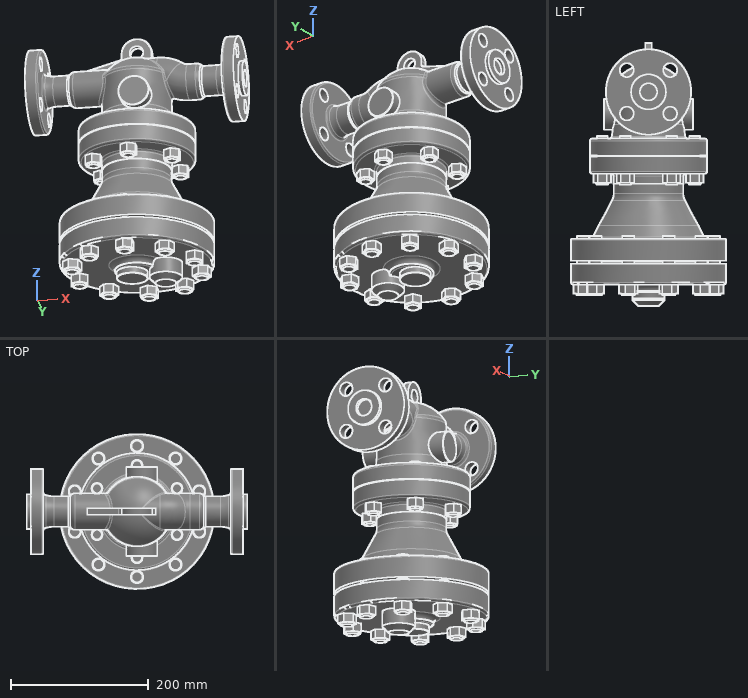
import cadquery as cq
import math


OVERALL_LENGTH = 320
RAISED_FACE_DIA = 50.8
RAISED_FACE_HEIGHT = 6
PIPE_FLANGE_DIA = 124
PIPE_FLANGE_THICKNESS = 18.3
PIPE_FLANGE_ROUND = 2.5
PIPE_FLANGE_BOLT_CIRCLE = 88.9
PIPE_FLANGE_HOLE_DIA = 20
PIPE_FLANGE_HOLE_COUNT = 4
BORE_DIA = 25
BORE_DEPTH = 6
HUB_DIA = 48
HUB_FILLET = 3.6
HUB_LENGTH = 11.5
THIN_PIPE_DIA = 44.4
THICK_PIPE_DIA = 53
SHOULDER_START = 99.5
SHOULDER_END = 90.5
SHOULDER_MIDDLE = 96.5
SHOULDER_MIDDLE_DIA = 47

BEND_OUTER_X = 76.5
BEND_INNER_X = 33
BEND_RISE = 13.4
BEND_END_X = 5
INLET_BLEND = 5
OUTLET_BLEND = 3

DOME_TOP = 40.1
DOME_RADIUS = 57.5
DOME_BASE_DIA = 100.95
DOME_EDGE_ROUND = 10
BODY_DIA = 102
BODY_BASE_DIA = 107
FLARE_TOP = -47
BODY_BASE_BLEND = 3

UPPER_FLANGE_DIA = 170
UPPER_FLANGE_TOP = -67.6
UPPER_JOINT = -93
UPPER_FLANGE_BOTTOM = -119
UPPER_FLANGE_ROUND = 3.5
UPPER_JOINT_GAP = 1
UPPER_JOINT_DIA = 124

NECK_COLLAR_BOTTOM = -133.4
NECK_BOTTOM = -147
NECK_BEND_RADIUS = 21
CONE_ANGLE = 28
CONE_BREAK_Z = -193.5
CONE_BASE_DIA = 161.5
CONE_BASE_BLEND = 5

LOWER_FLANGE_DIA = 225
LOWER_FLANGE_TOP = -212.8
LOWER_JOINT_TOP = -245
LOWER_JOINT_BOTTOM = -249
LOWER_FLANGE_BOTTOM = -279.7
LOWER_FLANGE_TOP_ROUND = 2
LOWER_FLANGE_BOTTOM_ROUND = 3.5
SPIGOT_DIA = 160
GASKET_DIA = 158
GASKET_TOP = -246.5

UPPER_BOLT_COUNT = 6
UPPER_BOLT_CIRCLE = 134
UPPER_BOLT_DIA = 16
UPPER_NUT_WIDTH = 22.2
UPPER_NUT_HEIGHT = 13
UPPER_STUD_TIP = 2.5
LOWER_BOLT_COUNT = 10
LOWER_BOLT_CIRCLE = 190
LOWER_BOLT_DIA = 18
LOWER_NUT_WIDTH = 24
LOWER_NUT_HEIGHT = 12.8
LOWER_STUD_TIP = 2.8
BOLT_RISE = 4
BOLT_CHAMFER = 1

PLUG_DIA = 45
PLUG_CHAMFER = 0.5
PLUG_OFFSET_X = 7
PLUG_Z = -32.5
PLUG_SPAN_Y = 130

LUG_RADIUS = 22
LUG_HOLE_DIA = 20
LUG_Z = 49
LUG_HOLE_Z = 49.8
LUG_THICKNESS = 10
LUG_FOOT_RADIUS = 5
RIB_START_X = -72
RIB_DROP = 1

BOSS_DIA = 64.5
BOSS_HEIGHT = 11
BOSS_FILLET = 9
BOSS_ROUND = 2.5
BOTTOM_PLUG_Z = -300
DRAIN_DIA = 47.5
DRAIN_X = 42.7
DRAIN_CHAMFER = 8.7
DRAIN_BOTTOM = -310.8


def cylinder(diameter, bottom, top, x=0):
    """Upright cylinder between two heights, its axis at x on the X axis."""
    return cq.Workplane("XY", origin=(x, 0, bottom)).circle(diameter / 2).extrude(top - bottom)


def upper_body():
    """Domed body with its upper flange, turned around Z."""
    base_r = DOME_BASE_DIA / 2
    dome_z = DOME_TOP - DOME_RADIUS
    round_r = base_r - DOME_EDGE_ROUND
    inner_reach = DOME_RADIUS - DOME_EDGE_ROUND
    rise = math.sqrt(inner_reach**2 - round_r**2)
    round_z = dome_z + rise
    edge_angle = math.atan2(rise, round_r)
    dome_mid = (edge_angle + math.pi / 2) / 2
    round_mid = edge_angle / 2

    def on_dome(angle):
        return (DOME_RADIUS * math.cos(angle), dome_z + DOME_RADIUS * math.sin(angle))

    def on_round(angle):
        return (round_r + DOME_EDGE_ROUND * math.cos(angle), round_z + DOME_EDGE_ROUND * math.sin(angle))

    blend_start = UPPER_FLANGE_TOP + BODY_BASE_BLEND
    blend_end_r = BODY_BASE_DIA / 2 + BODY_BASE_BLEND
    flange_r = UPPER_FLANGE_DIA / 2
    profile = (
        cq.Workplane("XZ")
        .moveTo(0, DOME_TOP)
        .threePointArc(on_dome(dome_mid), on_dome(edge_angle))
        .threePointArc(on_round(round_mid), (base_r, round_z))
        .lineTo(BODY_DIA / 2, FLARE_TOP)
        .lineTo(BODY_BASE_DIA / 2, blend_start)
        .radiusArc((blend_end_r, UPPER_FLANGE_TOP), -BODY_BASE_BLEND)
        .lineTo(flange_r - UPPER_FLANGE_ROUND, UPPER_FLANGE_TOP)
        .radiusArc((flange_r, UPPER_FLANGE_TOP - UPPER_FLANGE_ROUND), UPPER_FLANGE_ROUND)
        .lineTo(flange_r, UPPER_JOINT + UPPER_JOINT_GAP / 2)
        .lineTo(UPPER_JOINT_DIA / 2, UPPER_JOINT + UPPER_JOINT_GAP / 2)
        .lineTo(UPPER_JOINT_DIA / 2, UPPER_JOINT)
        .lineTo(0, UPPER_JOINT)
        .close()
    )
    return profile.revolve(360, (0, 0, 0), (0, 1, 0))


def lower_body():
    """Neck flange, neck, cone and the lower flange pair, turned around Z."""
    upper_r = UPPER_FLANGE_DIA / 2
    lower_r = LOWER_FLANGE_DIA / 2
    spigot_r = SPIGOT_DIA / 2
    neck_r = DOME_BASE_DIA / 2
    slope = math.radians(CONE_ANGLE)
    cone_top_r = neck_r + NECK_BEND_RADIUS * (1 - math.cos(slope))
    cone_top_z = NECK_BOTTOM - NECK_BEND_RADIUS * math.sin(slope)
    cone_break_r = cone_top_r + (cone_top_z - CONE_BREAK_Z) * math.tan(slope)
    cone_base_r = CONE_BASE_DIA / 2
    cone_base_z = LOWER_FLANGE_TOP + CONE_BASE_BLEND / 2
    profile = (
        cq.Workplane("XZ")
        .moveTo(0, UPPER_JOINT)
        .lineTo(UPPER_JOINT_DIA / 2, UPPER_JOINT)
        .lineTo(UPPER_JOINT_DIA / 2, UPPER_JOINT - UPPER_JOINT_GAP / 2)
        .lineTo(upper_r, UPPER_JOINT - UPPER_JOINT_GAP / 2)
        .lineTo(upper_r, UPPER_FLANGE_BOTTOM + UPPER_FLANGE_ROUND)
        .radiusArc((upper_r - UPPER_FLANGE_ROUND, UPPER_FLANGE_BOTTOM), UPPER_FLANGE_ROUND)
        .lineTo(BODY_DIA / 2 + BODY_BASE_BLEND, UPPER_FLANGE_BOTTOM)
        .radiusArc((BODY_DIA / 2, UPPER_FLANGE_BOTTOM - BODY_BASE_BLEND), -BODY_BASE_BLEND)
        .lineTo(BODY_DIA / 2, NECK_COLLAR_BOTTOM)
        .lineTo(neck_r, NECK_COLLAR_BOTTOM)
        .lineTo(neck_r, NECK_BOTTOM)
        .radiusArc((cone_top_r, cone_top_z), -NECK_BEND_RADIUS)
        .lineTo(cone_break_r, CONE_BREAK_Z)
        .tangentArcPoint((cone_base_r, cone_base_z), relative=False)
        .radiusArc((cone_base_r + CONE_BASE_BLEND, LOWER_FLANGE_TOP), -CONE_BASE_BLEND)
        .lineTo(lower_r - LOWER_FLANGE_TOP_ROUND, LOWER_FLANGE_TOP)
        .radiusArc((lower_r, LOWER_FLANGE_TOP - LOWER_FLANGE_TOP_ROUND), LOWER_FLANGE_TOP_ROUND)
        .lineTo(lower_r, LOWER_JOINT_TOP)
        .lineTo(spigot_r, LOWER_JOINT_TOP)
        .lineTo(spigot_r, GASKET_TOP)
        .lineTo(GASKET_DIA / 2, GASKET_TOP)
        .lineTo(GASKET_DIA / 2, LOWER_JOINT_BOTTOM)
        .lineTo(lower_r, LOWER_JOINT_BOTTOM)
        .lineTo(lower_r, LOWER_FLANGE_BOTTOM + LOWER_FLANGE_BOTTOM_ROUND)
        .radiusArc((lower_r - LOWER_FLANGE_BOTTOM_ROUND, LOWER_FLANGE_BOTTOM), LOWER_FLANGE_BOTTOM_ROUND)
        .lineTo(0, LOWER_FLANGE_BOTTOM)
        .close()
    )
    return profile.revolve(360, (0, 0, 0), (0, 1, 0))


def pipe_end(inner_x):
    """Flanged pipe on the -X side, from its sealing face in to inner_x, turned around X."""
    face_x = -OVERALL_LENGTH / 2
    flange_front = face_x + RAISED_FACE_HEIGHT
    flange_back = flange_front + PIPE_FLANGE_THICKNESS
    flange_r = PIPE_FLANGE_DIA / 2
    thin_r = THIN_PIPE_DIA / 2
    hub_step = (HUB_DIA - THIN_PIPE_DIA) / 2
    hub_radius = (HUB_LENGTH**2 + hub_step**2) / (2 * hub_step)
    pipe = (
        cq.Workplane("XZ")
        .moveTo(face_x + BORE_DEPTH, 0)
        .lineTo(face_x + BORE_DEPTH, BORE_DIA / 2)
        .lineTo(face_x, BORE_DIA / 2)
        .lineTo(face_x, RAISED_FACE_DIA / 2)
        .lineTo(flange_front, RAISED_FACE_DIA / 2)
        .lineTo(flange_front, flange_r)
        .lineTo(flange_back - PIPE_FLANGE_ROUND, flange_r)
        .radiusArc((flange_back, flange_r - PIPE_FLANGE_ROUND), PIPE_FLANGE_ROUND)
        .lineTo(flange_back, HUB_DIA / 2 + HUB_FILLET)
        .radiusArc((flange_back + HUB_FILLET, HUB_DIA / 2), -HUB_FILLET)
        .radiusArc((flange_back + HUB_FILLET + HUB_LENGTH, thin_r), -hub_radius)
        .lineTo(-SHOULDER_START, thin_r)
        .lineTo(-SHOULDER_MIDDLE, SHOULDER_MIDDLE_DIA / 2)
        .radiusArc((-SHOULDER_END, THICK_PIPE_DIA / 2), SHOULDER_START - SHOULDER_END)
        .lineTo(inner_x, THICK_PIPE_DIA / 2)
        .lineTo(inner_x, 0)
        .close()
        .revolve(360, (0, 0, 0), (1, 0, 0))
    )
    holes = (
        cq.Workplane("YZ")
        .workplane(offset=flange_front)
        .polarArray(PIPE_FLANGE_BOLT_CIRCLE / 2, 180 / PIPE_FLANGE_HOLE_COUNT, 360, PIPE_FLANGE_HOLE_COUNT)
        .circle(PIPE_FLANGE_HOLE_DIA / 2)
        .extrude(PIPE_FLANGE_THICKNESS)
    )
    return pipe.cut(holes)


def s_bend():
    """Outlet bend: two equal arcs that lift the pipe axis before it enters the dome."""
    middle = ((BEND_OUTER_X + BEND_INNER_X) / 2, BEND_RISE / 2)
    path = (
        cq.Workplane("XZ")
        .moveTo(BEND_END_X, BEND_RISE)
        .lineTo(BEND_INNER_X, BEND_RISE)
        .tangentArcPoint(middle, relative=False)
        .tangentArcPoint((BEND_OUTER_X, 0), relative=False)
    )
    return (
        cq.Workplane("YZ", origin=(BEND_END_X, 0, BEND_RISE))
        .circle(THICK_PIPE_DIA / 2)
        .sweep(path)
    )


def bolt_set(count, circle_dia, bolt_dia, top, nut_top, nut_width, nut_height, tip):
    """Ring of studs with hexagon nuts below; one stud sits on the -Y axis."""
    nut_bottom = nut_top - nut_height
    tip_base_dia = (bolt_dia + nut_width) / 2
    stud = cylinder(bolt_dia, nut_bottom, top).faces(">Z").chamfer(BOLT_CHAMFER / 2, BOLT_CHAMFER)
    corner_dia = nut_width / math.cos(math.pi / 6)
    nut = (
        cq.Workplane("XY")
        .workplane(offset=nut_bottom)
        .transformed(rotate=(0, 0, 90))
        .polygon(6, corner_dia)
        .extrude(nut_height)
    )
    end = (
        cq.Workplane("XY")
        .workplane(offset=nut_bottom)
        .circle(tip_base_dia / 2)
        .workplane(offset=-tip)
        .circle(bolt_dia / 2)
        .loft()
    )
    bolt = stud.union(nut).union(end).translate((0, -circle_dia / 2, 0))
    ring = cq.Workplane("XY")
    for index in range(count):
        ring = ring.add(bolt.rotate((0, 0, 0), (0, 0, 1), index * 360 / count))
    return ring.combine()


def side_plugs():
    """Plugs facing -Y and +Y, made as one bar through the body."""
    return (
        cq.Workplane("XZ", origin=(PLUG_OFFSET_X, 0, PLUG_Z))
        .circle(PLUG_DIA / 2)
        .extrude(PLUG_SPAN_Y / 2, both=True)
        .faces("<Y or >Y")
        .chamfer(PLUG_CHAMFER)
    )


def lifting_lug():
    """Eye on top of the dome, with a sloping rib down to the inlet pipe."""
    foot_z = BEND_RISE + THICK_PIPE_DIA / 2
    rib_start_z = THICK_PIPE_DIA / 2
    foot_x = LUG_RADIUS + LUG_FOOT_RADIUS
    return (
        cq.Workplane("XZ", origin=(0, LUG_THICKNESS / 2, 0))
        .moveTo(RIB_START_X, rib_start_z)
        .lineTo(-foot_x, foot_z - RIB_DROP)
        .radiusArc((-LUG_RADIUS, foot_z + LUG_FOOT_RADIUS / 2), -LUG_FOOT_RADIUS)
        .lineTo(-LUG_RADIUS, LUG_Z)
        .threePointArc((0, LUG_Z + LUG_RADIUS), (LUG_RADIUS, LUG_Z))
        .lineTo(LUG_RADIUS, foot_z + LUG_FOOT_RADIUS)
        .radiusArc((foot_x, foot_z), -LUG_FOOT_RADIUS)
        .lineTo(foot_x, 0)
        .lineTo(RIB_START_X, 0)
        .close()
        .extrude(LUG_THICKNESS)
    )


def lug_hole():
    """Eye hole, cut through the thickness of the lug."""
    depth = LUG_THICKNESS / 2
    return cq.Workplane("XZ", origin=(0, 0, LUG_HOLE_Z)).circle(LUG_HOLE_DIA / 2).extrude(depth, both=True)


def bottom_details():
    """Round boss with an off-centre plug, and the chamfered drain stub beside it."""
    boss_bottom = LOWER_FLANGE_BOTTOM - BOSS_HEIGHT
    boss_r = BOSS_DIA / 2
    boss = (
        cq.Workplane("XZ")
        .moveTo(0, LOWER_FLANGE_BOTTOM)
        .lineTo(boss_r + BOSS_FILLET, LOWER_FLANGE_BOTTOM)
        .radiusArc((boss_r, LOWER_FLANGE_BOTTOM - BOSS_FILLET), -BOSS_FILLET)
        .lineTo(boss_r, boss_bottom + BOSS_ROUND)
        .radiusArc((boss_r - BOSS_ROUND, boss_bottom), BOSS_ROUND)
        .lineTo(0, boss_bottom)
        .close()
        .revolve(360, (0, 0, 0), (0, 1, 0))
    )
    plug = cylinder(PLUG_DIA, BOTTOM_PLUG_Z, LOWER_FLANGE_BOTTOM, -PLUG_OFFSET_X)
    plug = plug.faces("<Z").chamfer(PLUG_CHAMFER)
    drain = cylinder(DRAIN_DIA, DRAIN_BOTTOM, LOWER_FLANGE_BOTTOM, DRAIN_X)
    drain = drain.faces("<Z").chamfer(DRAIN_CHAMFER)
    return boss.union(plug).union(drain)


def blend_pipe(body, pipe, side, radius):
    """Join a pipe to the dome and round the curved seam on that side (-1 inlet, 1 outlet)."""
    joined = body.union(pipe)
    reach = THICK_PIPE_DIA
    near_x = side * BEND_END_X
    far_x = side * BEND_OUTER_X
    near_seam = cq.selectors.BoxSelector((near_x, -reach, -reach), (far_x, reach, DOME_TOP))
    return joined.edges("%BSPLINE").edges(near_seam).fillet(radius)


body = blend_pipe(upper_body(), pipe_end(0), -1, INLET_BLEND)
body = blend_pipe(body, s_bend(), 1, OUTLET_BLEND)
outlet = pipe_end(-BEND_OUTER_X).rotate((0, 0, 0), (0, 0, 1), 180)
upper_bolts = bolt_set(
    UPPER_BOLT_COUNT, UPPER_BOLT_CIRCLE, UPPER_BOLT_DIA, UPPER_FLANGE_TOP + BOLT_RISE,
    UPPER_FLANGE_BOTTOM, UPPER_NUT_WIDTH, UPPER_NUT_HEIGHT, UPPER_STUD_TIP,
)
lower_bolts = bolt_set(
    LOWER_BOLT_COUNT, LOWER_BOLT_CIRCLE, LOWER_BOLT_DIA, LOWER_FLANGE_TOP + BOLT_RISE,
    LOWER_FLANGE_BOTTOM, LOWER_NUT_WIDTH, LOWER_NUT_HEIGHT, LOWER_STUD_TIP,
)
result = body.union(outlet).union(lower_body())
for detail in (side_plugs(), lifting_lug(), bottom_details(), upper_bolts, lower_bolts):
    result = result.union(detail)
result = result.cut(lug_hole())